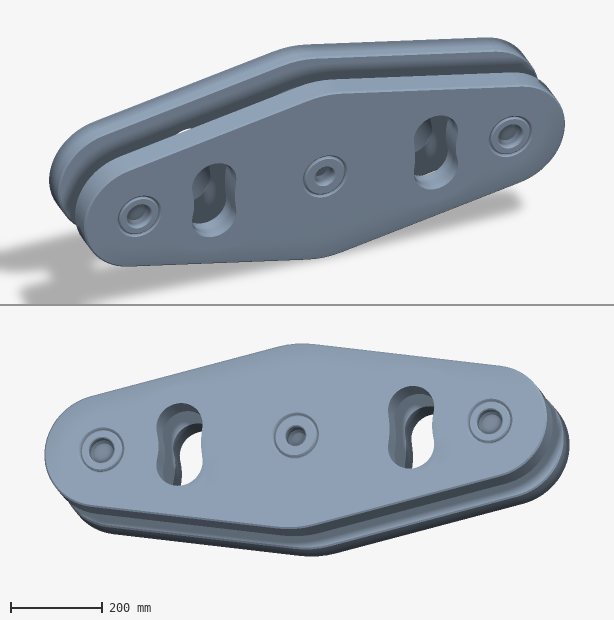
import cadquery as cq
import math

total_width = 213.0
plate_length = 1134.0
plate_height = 425.0
plate_thickness = 60.0

center_radius = plate_height / 2
end_radius = 129.0
pin_offset = plate_length / 2 - end_radius
edge_chamfer = 3.0

slot_corner_radius = 52.0

hub_radius = 143.0
bushing_wall = 7.0
bushing_radius = hub_radius + bushing_wall
groove_radius = 49.0
groove_half_width = 5.0

pin_radius = 94.0 / 2
pin_chamfer = 3.0
pin_hole_chamfer = 5.1

hub_bore_radius = 23.0
hub_bore_depth = 32.0
pin_bore_radius = 28.0
pin_bore_depth = 23.0
bore_mouth_chamfer = 2.0
bore_bottom_chamfer = 6.0

outer_x = total_width / 2
plate_starts = (-outer_x, outer_x - plate_thickness)
ends = (-1, 1)
tangent_angle = math.acos((center_radius - end_radius) / pin_offset)


def disc(radius, start_x, length, center_y=0):
    return cq.Workplane("YZ", origin=(start_x, center_y, 0)).circle(radius).extrude(length)


def turned(profile):
    """Revolve an (x, radius) profile about the X axis."""
    return cq.Workplane("XY").polyline(profile).close().revolve(360, (0, 0, 0), (1, 0, 0))


def point_on_round(center_y, radius, angle):
    return (center_y + radius * math.cos(angle), radius * math.sin(angle))


def plate_blank(start_x):
    upper_right = point_on_round(0, center_radius, tangent_angle)
    upper_left = point_on_round(0, center_radius, math.pi - tangent_angle)
    lower_left = point_on_round(0, center_radius, math.pi + tangent_angle)
    lower_right = point_on_round(0, center_radius, -tangent_angle)
    left_end_top = point_on_round(-pin_offset, end_radius, math.pi - tangent_angle)
    left_end_bottom = point_on_round(-pin_offset, end_radius, math.pi + tangent_angle)
    right_end_bottom = point_on_round(pin_offset, end_radius, -tangent_angle)
    right_end_top = point_on_round(pin_offset, end_radius, tangent_angle)
    outline = (
        cq.Workplane("YZ", origin=(start_x, 0, 0))
        .moveTo(*upper_right)
        .threePointArc((0, center_radius), upper_left)
        .lineTo(*left_end_top)
        .threePointArc((-plate_length / 2, 0), left_end_bottom)
        .lineTo(*lower_left)
        .threePointArc((0, -center_radius), lower_right)
        .lineTo(*right_end_bottom)
        .threePointArc((plate_length / 2, 0), right_end_top)
        .close()
    )
    return outline.extrude(plate_thickness).faces("<X or >X").edges().chamfer(edge_chamfer)


def slot(start_x, end):
    """Waisted slot whose end rounds are tangent to both concentric side arcs."""
    reach_from_center = center_radius + slot_corner_radius
    reach_from_pin = end_radius + slot_corner_radius
    corner_y = (reach_from_center**2 - reach_from_pin**2 + pin_offset**2) / (2 * pin_offset)
    corner_z = math.sqrt(reach_from_center**2 - corner_y**2)
    tip_z = corner_z + slot_corner_radius

    inner_y, inner_z = point_on_round(0, center_radius, math.atan2(corner_z, corner_y))
    pin_side_angle = math.atan2(corner_z, corner_y - pin_offset)
    near_pin_y, near_pin_z = point_on_round(pin_offset, end_radius, pin_side_angle)
    return (
        cq.Workplane("YZ", origin=(start_x, 0, 0))
        .moveTo(end * inner_y, -inner_z)
        .threePointArc((end * center_radius, 0), (end * inner_y, inner_z))
        .threePointArc((end * corner_y, tip_z), (end * near_pin_y, near_pin_z))
        .threePointArc((end * (pin_offset - end_radius), 0), (end * near_pin_y, -near_pin_z))
        .threePointArc((end * corner_y, -tip_z), (end * inner_y, -inner_z))
        .close()
        .extrude(plate_thickness)
    )


def pin_countersinks():
    """Cones that chamfer the outer rims of the pin holes in both plates."""
    cone = turned([
        (-outer_x, 0),
        (-outer_x, pin_radius + pin_hole_chamfer),
        (-outer_x + pin_hole_chamfer, pin_radius),
        (-outer_x + pin_hole_chamfer, 0),
    ])
    return cone.union(cone.mirror("YZ"))


def make_plate(start_x):
    plate = plate_blank(start_x).cut(disc(bushing_radius, start_x, plate_thickness))
    for end in ends:
        plate = plate.cut(slot(start_x, end))
        plate = plate.cut(disc(pin_radius, start_x, plate_thickness, end * pin_offset))
        plate = plate.cut(pin_countersinks().translate((0, end * pin_offset, 0)))
    return plate


def make_bushing(start_x):
    return disc(bushing_radius, start_x, plate_thickness).cut(disc(hub_radius, start_x, plate_thickness))


def end_bores(radius, depth):
    """Blind bores from both ends, chamfered at the mouth and at the floor."""
    floor_x = -outer_x + depth
    bore = turned([
        (-outer_x, 0),
        (-outer_x, radius + bore_mouth_chamfer),
        (-outer_x + bore_mouth_chamfer, radius),
        (floor_x - bore_bottom_chamfer, radius),
        (floor_x, radius - bore_bottom_chamfer),
        (floor_x, 0),
    ])
    return bore.union(bore.mirror("YZ"))


def hub_grooves():
    """V-shaped ring grooves with 45-degree walls in both end faces of the hub."""
    groove = turned([
        (-outer_x, groove_radius - groove_half_width),
        (-outer_x, groove_radius + groove_half_width),
        (-outer_x + groove_half_width, groove_radius),
    ])
    return groove.union(groove.mirror("YZ"))


def make_hub():
    hub_body = disc(hub_radius, -outer_x, total_width)
    return hub_body.cut(hub_grooves()).cut(end_bores(hub_bore_radius, hub_bore_depth))


def make_pin(end):
    pin = disc(pin_radius, -outer_x, total_width).faces("<X or >X").edges().chamfer(pin_chamfer)
    pin = pin.cut(end_bores(pin_bore_radius, pin_bore_depth))
    return pin.translate((0, end * pin_offset, 0))


plates = [make_plate(start_x) for start_x in plate_starts]
bushings = [make_bushing(start_x) for start_x in plate_starts]
hub = make_hub()
pins = [make_pin(end) for end in ends]

result = cq.Compound.makeCompound([body.val() for body in [*plates, *bushings, hub, *pins]])